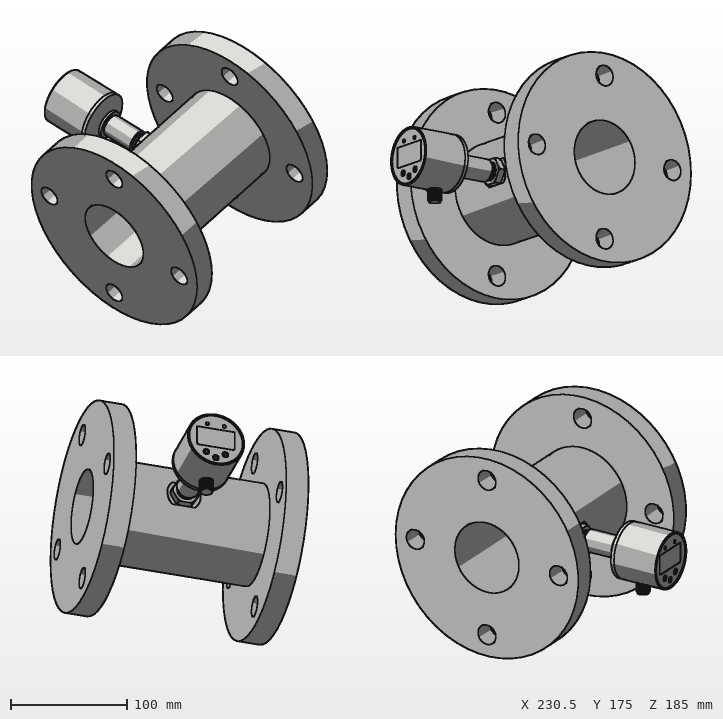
import cadquery as cq

PIPE_LENGTH = 175.0
PIPE_DIA = 90.0
BORE_DIA = 65.0
FLANGE_DIA = 185.0
FLANGE_THICKNESS = 20.0
BOLT_CIRCLE_DIA = 145.0
BOLT_HOLE_DIA = 18.0
BOLT_COUNT = 4

TOTAL_LENGTH = 230.5
SENSOR_Y = 9.7
SENSOR_FRONT_X = FLANGE_DIA / 2 - TOTAL_LENGTH
SEAT_DIA = 30.0
SEAT_X = -43.5

HOUSING_DIA = 51.0
HOUSING_LENGTH = 42.0
FACE_DIA = 48.0
FACE_DEPTH = 1.0
EDGE_CHAMFER = 0.5
MARK_DEPTH = 0.2
DISPLAY_WIDTH = 33.9
DISPLAY_TOP_Z = 10.8
DISPLAY_BOTTOM_Z = -7.4
DISPLAY_CORNER_RADIUS = 1.8
LED_DIA = 3.0
LED_SPACING = 15.2
LED_Z = 15.0

BUTTON_DIA = 5.3
BUTTON_CAP_DIA = 3.0
BUTTON_HEIGHT = 0.5
BUTTON_POCKET_DEPTH = 1.2
BUTTON_SPACING = 17.0
SIDE_BUTTON_Z = -13.4
MIDDLE_BUTTON_Z = -18.0

CAP_RIM_LENGTH = 3.2
CONE_LENGTH = 5.0
COLLAR_DIA = 25.4
COLLAR_LENGTH = 2.5
COLLAR_GROOVE_DIA = 19.0
COLLAR_GROOVE_WIDTH = 0.7
STEM_DIA = 19.8
STEM_LENGTH = 29.3
NECK_DIA = 16.1
NECK_GROOVE_DIA = 15.0
NECK_GROOVE_WIDTH = 0.7
NECK_THREAD_RINGS = 3
NECK_THREAD_PITCH = 0.75

NUT_SIDES = 6
NUT_LENGTH = 6.5
NUT_CORNER_DIA = 25.4
NUT_CHAMFER = 1.2

CONNECTOR_FROM_FRONT = 28.4
THREAD_DIA = 12.0
THREAD_ROOT_DIA = 10.1
THREAD_PITCH = 1.0
THREAD_RINGS = 10
THREAD_END_Z = -35.0
CONNECTOR_TIP_LENGTH = 1.4

FACE_X = SENSOR_FRONT_X + FACE_DEPTH
CAP_X = SENSOR_FRONT_X + HOUSING_LENGTH
NUT_X = SEAT_X - NUT_LENGTH
CONNECTOR_X = SENSOR_FRONT_X + CONNECTOR_FROM_FRONT
CONNECTOR_TOP_Z = THREAD_END_Z + THREAD_RINGS * THREAD_PITCH
BUTTON_PLACES = [
    (-BUTTON_SPACING / 2, SIDE_BUTTON_Z),
    (0, MIDDLE_BUTTON_Z),
    (BUTTON_SPACING / 2, SIDE_BUTTON_Z),
]


def across_sensor(x):
    """Work plane facing +X at the given x, centred on the sensor axis: local x is +Y, local y is +Z."""
    return cq.Workplane("YZ", origin=(x, SENSOR_Y, 0))


def sensor_cylinder(x, diameter, length):
    return across_sensor(x).circle(diameter / 2).extrude(length)


def along_pipe(y):
    """Work plane at the given y whose extrusions run toward -Y."""
    return cq.Workplane("XZ", origin=(0, y, 0))


def make_flanged_pipe():
    """Bored pipe with a flange at each end and a flat round seat for the nut."""
    end_y = PIPE_LENGTH / 2
    pipe = along_pipe(end_y).circle(PIPE_DIA / 2).extrude(PIPE_LENGTH)
    for y in (end_y, -end_y + FLANGE_THICKNESS):
        pipe = pipe.union(along_pipe(y).circle(FLANGE_DIA / 2).extrude(FLANGE_THICKNESS))
    bore = along_pipe(end_y).circle(BORE_DIA / 2).extrude(PIPE_LENGTH)
    bolt_holes = (
        along_pipe(end_y)
        .polarArray(BOLT_CIRCLE_DIA / 2, 0, 360, BOLT_COUNT)
        .circle(BOLT_HOLE_DIA / 2)
        .extrude(PIPE_LENGTH)
    )
    nut_seat = sensor_cylinder(SEAT_X, SEAT_DIA, -NUT_LENGTH)
    return pipe.cut(bore).cut(bolt_holes).cut(nut_seat)


def make_display_recess():
    """Shallow rectangle for the display window, with rounded lower corners."""
    height = DISPLAY_TOP_Z - DISPLAY_BOTTOM_Z
    return (
        across_sensor(FACE_X)
        .center(0, (DISPLAY_TOP_Z + DISPLAY_BOTTOM_Z) / 2)
        .rect(DISPLAY_WIDTH, height)
        .extrude(MARK_DEPTH)
        .edges("|X and <Z")
        .fillet(DISPLAY_CORNER_RADIUS)
    )


def make_housing(connector):
    """Round block with a recessed face, button pockets and a hole that fits the connector."""
    housing = sensor_cylinder(SENSOR_FRONT_X, HOUSING_DIA, HOUSING_LENGTH)
    housing = housing.faces("<X").chamfer(EDGE_CHAMFER)
    face_recess = sensor_cylinder(SENSOR_FRONT_X, FACE_DIA, FACE_DEPTH)
    leds = (
        across_sensor(FACE_X)
        .pushPoints([(-LED_SPACING / 2, LED_Z), (LED_SPACING / 2, LED_Z)])
        .circle(LED_DIA / 2)
        .extrude(MARK_DEPTH)
    )
    button_pockets = (
        across_sensor(FACE_X)
        .pushPoints(BUTTON_PLACES)
        .circle(BUTTON_DIA / 2)
        .extrude(BUTTON_POCKET_DEPTH)
    )
    housing = housing.cut(face_recess).cut(make_display_recess())
    return housing.cut(leds).cut(button_pockets).cut(connector)


def make_button(y, z):
    """Round button with a raised cap, filling one pocket of the housing face."""
    base = across_sensor(FACE_X).center(y, z).circle(BUTTON_DIA / 2).extrude(BUTTON_POCKET_DEPTH)
    cap = across_sensor(FACE_X).center(y, z).circle(BUTTON_CAP_DIA / 2).extrude(-BUTTON_HEIGHT)
    return base.union(cap)


def make_cap_and_stem():
    """Turned part: rim, cone, collar, stem and a neck whose last stretch is threaded up to the nut."""
    cone_x = CAP_X + CAP_RIM_LENGTH
    collar_x = cone_x + CONE_LENGTH
    collar_end_x = collar_x + COLLAR_LENGTH
    stem_x = collar_end_x + COLLAR_GROOVE_WIDTH
    neck_x = stem_x + STEM_LENGTH
    neck_land_x = neck_x + NECK_GROOVE_WIDTH
    neck_thread_x = NUT_X - NECK_THREAD_RINGS * NECK_THREAD_PITCH
    profile = [
        (CAP_X, 0),
        (CAP_X, HOUSING_DIA / 2),
        (cone_x, HOUSING_DIA / 2),
        (collar_x, COLLAR_DIA / 2),
        (collar_end_x, COLLAR_DIA / 2),
        (collar_end_x, COLLAR_GROOVE_DIA / 2),
        (stem_x, COLLAR_GROOVE_DIA / 2),
        (stem_x, STEM_DIA / 2),
        (neck_x, STEM_DIA / 2),
        (neck_x, NECK_GROOVE_DIA / 2),
        (neck_land_x, NECK_GROOVE_DIA / 2),
        (neck_land_x, NECK_DIA / 2),
        (neck_thread_x, NECK_DIA / 2),
    ]
    for ring in range(NECK_THREAD_RINGS):
        ring_x = neck_thread_x + ring * NECK_THREAD_PITCH
        profile.append((ring_x + NECK_THREAD_PITCH / 2, NECK_GROOVE_DIA / 2))
        profile.append((ring_x + NECK_THREAD_PITCH, NECK_DIA / 2))
    profile.append((NUT_X, 0))
    outline = cq.Workplane("XY", origin=(0, SENSOR_Y, 0)).polyline(profile).close()
    return outline.revolve(360, (0, 0, 0), (1, 0, 0))


def make_nut():
    """Hexagon with corners toward +Y and -Y, its corners cut back by a cone at both ends."""
    hexagon = across_sensor(NUT_X).polygon(NUT_SIDES, NUT_CORNER_DIA).extrude(NUT_LENGTH)
    round_blank = sensor_cylinder(NUT_X, NUT_CORNER_DIA, NUT_LENGTH)
    chamfered_round = round_blank.faces("<X or >X").chamfer(NUT_CHAMFER)
    return hexagon.intersect(chamfered_round)


def make_connector():
    """Round plug with V-shaped thread rings above a plain tip."""
    crest = THREAD_DIA / 2
    root = THREAD_ROOT_DIA / 2
    tip_z = THREAD_END_Z - CONNECTOR_TIP_LENGTH
    profile = [(0, tip_z), (root, tip_z), (root, THREAD_END_Z)]
    for ring in range(THREAD_RINGS):
        ring_z = THREAD_END_Z + ring * THREAD_PITCH
        profile.append((crest, ring_z + THREAD_PITCH / 2))
        profile.append((root, ring_z + THREAD_PITCH))
    profile.append((0, CONNECTOR_TOP_Z))
    outline = cq.Workplane("XZ", origin=(CONNECTOR_X, SENSOR_Y, 0)).polyline(profile).close()
    return outline.revolve(360, (0, 0, 0), (0, 1, 0))


flanged_pipe = make_flanged_pipe()
connector = make_connector()
housing = make_housing(connector)
buttons = [make_button(y, z) for y, z in BUTTON_PLACES]
cap_and_stem = make_cap_and_stem()
nut = make_nut()

result = cq.Compound.makeCompound([
    flanged_pipe.val(),
    housing.val(),
    *[button.val() for button in buttons],
    cap_and_stem.val(),
    nut.val(),
    connector.val(),
])